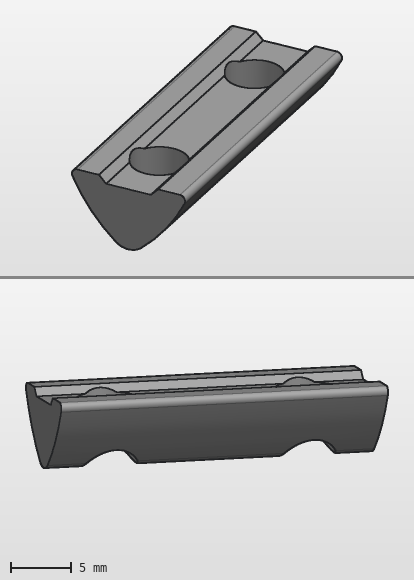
import cadquery as cq
import math

length = 28.0
width = 10.5
height = 6.3
corner_radius = 0.5
nose_radius = 1.85
flank_radius = 15.4
groove_floor_width = 4.15
groove_depth = 0.67
hole_diameter = 4.93
hole_spacing = 16.97

corner_center = (width / 2 - corner_radius, height - corner_radius)
nose_center = (0.0, nose_radius)


def flank_center():
    """Centre of the flank arc that encloses, and is tangent to, the corner and nose circles."""
    to_corner = flank_radius - corner_radius
    to_nose = flank_radius - nose_radius
    dx = corner_center[0] - nose_center[0]
    dz = corner_center[1] - nose_center[1]
    span = math.hypot(dx, dz)
    along = (to_nose**2 - to_corner**2 + span**2) / (2 * span)
    across = math.sqrt(to_nose**2 - along**2)
    x = nose_center[0] + (along * dx - across * dz) / span
    z = nose_center[1] + (along * dz + across * dx) / span
    return x, z


def on_circle(center, radius, angle):
    return center[0] + radius * math.cos(angle), center[1] + radius * math.sin(angle)


def mirrored(point):
    return -point[0], point[1]


def make_bar():
    """Extruded section: flat top, rounded corners, bowed flanks and a rounded nose."""
    center = flank_center()
    corner_angle = math.atan2(corner_center[1] - center[1], corner_center[0] - center[0])
    nose_angle = math.atan2(nose_center[1] - center[1], nose_center[0] - center[0])

    corner_top = (corner_center[0], height)
    corner_middle = on_circle(corner_center, corner_radius, (math.pi / 2 + corner_angle) / 2)
    flank_top = on_circle(center, flank_radius, corner_angle)
    flank_middle = on_circle(center, flank_radius, (corner_angle + nose_angle) / 2)
    flank_bottom = on_circle(center, flank_radius, nose_angle)
    nose_tip = (0.0, 0.0)

    return (
        cq.Workplane("XZ")
        .moveTo(*mirrored(corner_top))
        .lineTo(*corner_top)
        .threePointArc(corner_middle, flank_top)
        .threePointArc(flank_middle, flank_bottom)
        .threePointArc(nose_tip, mirrored(flank_bottom))
        .threePointArc(mirrored(flank_middle), mirrored(flank_top))
        .threePointArc(mirrored(corner_middle), mirrored(corner_top))
        .close()
        .extrude(length / 2, both=True)
    )


def make_groove():
    """Full-length groove in the top face, with walls sloping at 45 degrees."""
    floor_half = groove_floor_width / 2
    mouth_half = floor_half + groove_depth
    floor_z = height - groove_depth
    return (
        cq.Workplane("XZ")
        .polyline([
            (-mouth_half, height),
            (-floor_half, floor_z),
            (floor_half, floor_z),
            (mouth_half, height),
        ])
        .close()
        .extrude(length / 2, both=True)
    )


def make_holes():
    """Two vertical through holes on the centre line."""
    return (
        cq.Workplane("XY")
        .pushPoints([(0, -hole_spacing / 2), (0, hole_spacing / 2)])
        .circle(hole_diameter / 2)
        .extrude(height)
    )


result = make_bar().cut(make_groove()).cut(make_holes())